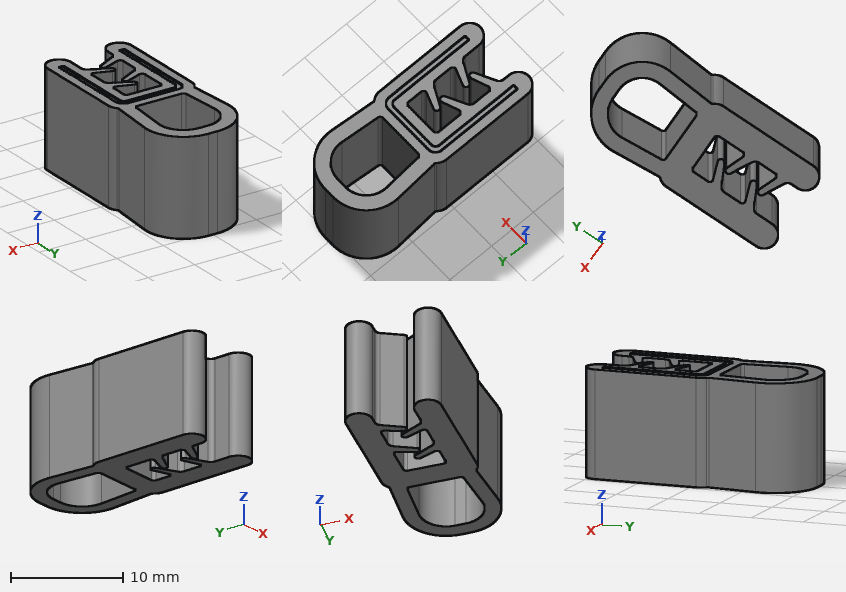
import cadquery as cq
import math

height = 10.0
total_length = 21.0
half_width = 9.0 / 2

bulb_radius = 4.0
bulb_wall = 1.5
bulb_taper = math.radians(4.6)
bulb_center_x = 0.5
bulb_center_y = total_length - bulb_radius
bulb_floor_y = 12.47

channel_half_width = 2.0
channel_top_y = 10.0
leg_radius = (half_width - channel_half_width) / 2
shoulder_start_y = 10.96
shoulder_radius = 1.39
notch_radius = 0.25
small_corner_radius = 0.3

groove_half_width = 3.5
groove_width = 0.5
groove_bottom_y = 1.6
groove_top_y = 11.5
groove_outer_radius = 0.8
groove_inner_radius = 0.5
groove_depth = 0.1

lip_tip_radius = 0.32
lip_tip_reach = 0.1
lip_upper_angle = math.radians(20.5)
lip_lower_angle = math.radians(27)
lip_lower_root_radius = 0.59
lip_pitch = 3.5
lowest_lip_y = 3.7
lip_stagger = 1.0
lip_root_overlap = 0.2


def on_circle(center, radius, angle):
    return (center[0] + radius * math.cos(angle), center[1] + radius * math.sin(angle))


def mirrored(point):
    return (-point[0], point[1])


def bulb_arc(radius):
    """Start, middle and tapered end of a bulb arc on the +X side."""
    center = (bulb_center_x, bulb_center_y)
    middle_angle = (math.pi / 2 - bulb_taper) / 2
    return [on_circle(center, radius, a) for a in (math.pi / 2, middle_angle, -bulb_taper)]


def taper_x(arc_end, y):
    """X on the tapered bulb side that starts at arc_end."""
    return arc_end[0] - (arc_end[1] - y) * math.tan(bulb_taper)


def meet_shoulder(arc_end):
    """Point where the tapered bulb side crosses the shoulder arc."""
    center_x = half_width - shoulder_radius
    slope_x = math.cos(bulb_taper)
    slope_y = math.sin(bulb_taper)
    offset = (arc_end[0] - center_x) * slope_x - (arc_end[1] - shoulder_start_y) * slope_y
    angle = math.acos(offset / shoulder_radius) - bulb_taper
    return angle, on_circle((center_x, shoulder_start_y), shoulder_radius, angle)


def body():
    top, middle, side = bulb_arc(bulb_radius)
    notch_angle, notch = meet_shoulder(side)
    shoulder_center = (half_width - shoulder_radius, shoulder_start_y)
    shoulder_middle = on_circle(shoulder_center, shoulder_radius, notch_angle / 2)
    shoulder = (half_width, shoulder_start_y)
    leg_outer = (half_width, leg_radius)
    leg_tip = (half_width - leg_radius, 0)
    leg_inner = (channel_half_width, leg_radius)
    channel_corner = (channel_half_width, channel_top_y)
    outline = (
        cq.Workplane("XY")
        .moveTo(*mirrored(top))
        .lineTo(*top)
        .threePointArc(middle, side)
        .lineTo(*notch)
        .threePointArc(shoulder_middle, shoulder)
        .lineTo(*leg_outer)
        .threePointArc(leg_tip, leg_inner)
        .lineTo(*channel_corner)
        .lineTo(*mirrored(channel_corner))
        .lineTo(*mirrored(leg_inner))
        .threePointArc(mirrored(leg_tip), mirrored(leg_outer))
        .lineTo(*mirrored(shoulder))
        .threePointArc(mirrored(shoulder_middle), mirrored(notch))
        .lineTo(*mirrored(side))
        .threePointArc(mirrored(middle), mirrored(top))
        .close()
        .extrude(height)
    )
    outline = round_edges(outline, [channel_corner, mirrored(channel_corner)], small_corner_radius)
    return round_edges(outline, [notch, mirrored(notch)], notch_radius)


def round_edges(solid, points, radius):
    """Fillet the upright edges that pass through the given XY points."""
    for x, y in points:
        solid = solid.edges(cq.NearestToPointSelector((x, y, height / 2))).fillet(radius)
    return solid


def bulb_hole():
    top, middle, side = bulb_arc(bulb_radius - bulb_wall)
    floor = (taper_x(side, bulb_floor_y), bulb_floor_y)
    hole = (
        cq.Workplane("XY")
        .moveTo(*mirrored(top))
        .lineTo(*top)
        .threePointArc(middle, side)
        .lineTo(*floor)
        .lineTo(*mirrored(floor))
        .lineTo(*mirrored(side))
        .threePointArc(mirrored(middle), mirrored(top))
        .close()
        .extrude(height)
    )
    return round_edges(hole, [floor, mirrored(floor)], small_corner_radius)


def add_lip(solid, side, tip_y):
    """Fuse one lip to the channel wall on the given side (-1 left, +1 right)."""
    tip = (lip_tip_reach, tip_y)
    upper = on_circle(tip, lip_tip_radius, math.pi / 2 + lip_upper_angle)
    lower = on_circle(tip, lip_tip_radius, lip_lower_angle - math.pi / 2)
    nose = on_circle(tip, lip_tip_radius, 0)

    def root(start, angle, x):
        return (x, start[1] - (start[0] - x) * math.tan(angle))

    def placed(point):
        return (-side * point[0], point[1])

    wall_x = -channel_half_width
    buried_x = wall_x - lip_root_overlap
    upper_root = root(upper, lip_upper_angle, wall_x)
    lower_root = root(lower, lip_lower_angle, wall_x)
    lip = (
        cq.Workplane("XY")
        .moveTo(buried_x * -side, upper_root[1])
        .lineTo(*placed(upper_root))
        .lineTo(*placed(upper))
        .threePointArc(placed(nose), placed(lower))
        .lineTo(*placed(lower_root))
        .lineTo(buried_x * -side, lower_root[1])
        .close()
        .extrude(height)
    )
    solid = solid.union(lip)
    solid = round_edges(solid, [placed(upper_root)], small_corner_radius)
    return round_edges(solid, [placed(lower_root)], lip_lower_root_radius)


def groove_block(half_x, top_y, corner_radius):
    """Rectangle at the top face with its two far corners rounded."""
    return (
        cq.Workplane("XY")
        .box(2 * half_x, top_y - groove_bottom_y, groove_depth, centered=(True, False, False))
        .edges("|Z and >Y")
        .fillet(corner_radius)
        .translate((0, groove_bottom_y, height - groove_depth))
    )


def groove():
    outer = groove_block(groove_half_width, groove_top_y, groove_outer_radius)
    inner = groove_block(groove_half_width - groove_width, groove_top_y - groove_width, groove_inner_radius)
    return outer.cut(inner)


result = body().cut(bulb_hole())
for row in range(2):
    left_tip_y = lowest_lip_y + row * lip_pitch
    result = add_lip(result, -1, left_tip_y)
    result = add_lip(result, 1, left_tip_y + lip_stagger)
result = result.cut(groove())